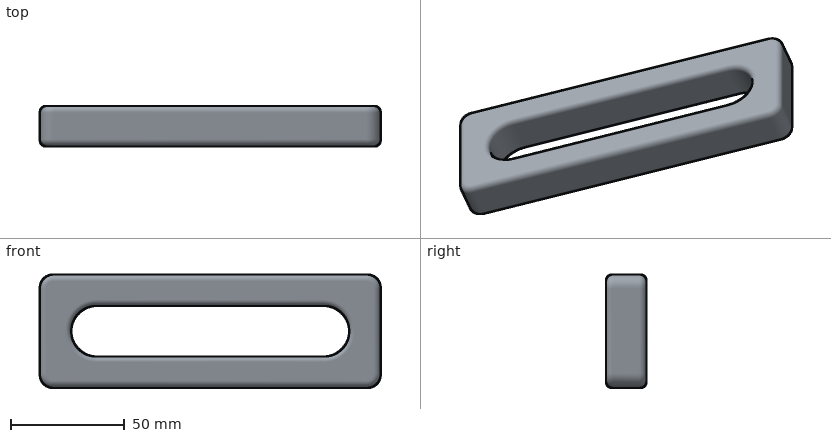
import cadquery as cq

length = 150.0
thickness = 18.0
height = 50.0
corner_radius = 6.0
outer_edge_radius = 3.0

slot_center_distance = 100.0
slot_width = 22.15
slot_length = slot_center_distance + slot_width
slot_edge_radius = 2.5


def rounded_plate():
    """Upright plate with rounded corners and rounded front and back rims."""
    plate = cq.Workplane("XY").box(length, thickness, height)
    plate = plate.edges("|Y").fillet(corner_radius)
    return plate.faces("<Y or >Y").edges().fillet(outer_edge_radius)


def cut_slot(plate):
    """Cut the slot through the plate and round its front and back rims."""
    cutter = cq.Workplane("XZ").slot2D(slot_length, slot_width).extrude(thickness, both=True)
    slotted = plate.cut(cutter)

    zone_half_length = slot_length / 2 + slot_edge_radius
    zone_half_height = slot_width / 2 + slot_edge_radius
    rim_zone = cq.selectors.BoxSelector(
        (-zone_half_length, -thickness, -zone_half_height),
        (zone_half_length, thickness, zone_half_height),
    )
    return slotted.faces("<Y or >Y").edges(rim_zone).fillet(slot_edge_radius)


result = cut_slot(rounded_plate())